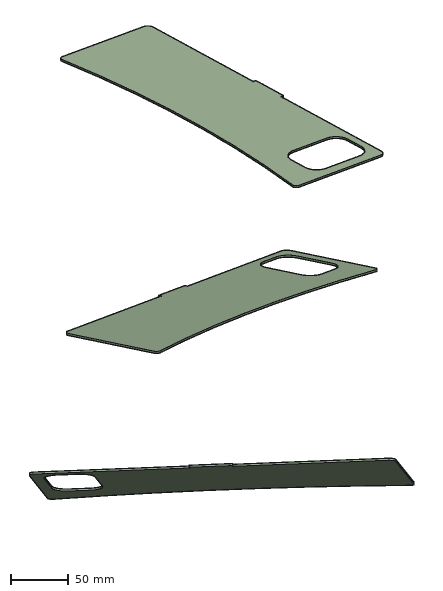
import cadquery as cq

length = 324.0
thickness = 1.9
overall_width = 104.5
tab_height = 3.0
top_edge = overall_width - tab_height
half_length = length / 2

corner_drop = 0.5
arc_crown = 11.0

top_corner_radius = 5.8
bottom_corner_radius = 4.0

tab_width = 38.2

window_width = 44.7
window_height = 63.5
window_radius = 13.0
window_x = 129.0
window_y = 62.0


def make_plate():
    """Plate with a straight top edge and a concave bottom edge."""
    plate = (
        cq.Workplane("XY")
        .moveTo(-half_length, top_edge)
        .lineTo(-half_length, -corner_drop)
        .threePointArc((0, arc_crown), (half_length, -corner_drop))
        .lineTo(half_length, top_edge)
        .close()
        .extrude(thickness)
    )
    plate = plate.edges("|Z and >Y").fillet(top_corner_radius)
    return plate.edges("|Z and <Y").fillet(bottom_corner_radius)


def make_tab():
    """Shallow rectangular tab rising from the top edge."""
    return (
        cq.Workplane("XY")
        .center(0, top_edge)
        .rect(tab_width, 2 * tab_height)
        .extrude(thickness)
    )


def make_window():
    """Rounded rectangular cutter for the through window."""
    return (
        cq.Workplane("XY")
        .center(window_x, window_y)
        .rect(window_width, window_height)
        .extrude(thickness)
        .edges("|Z")
        .fillet(window_radius)
    )


result = make_plate().union(make_tab()).cut(make_window())